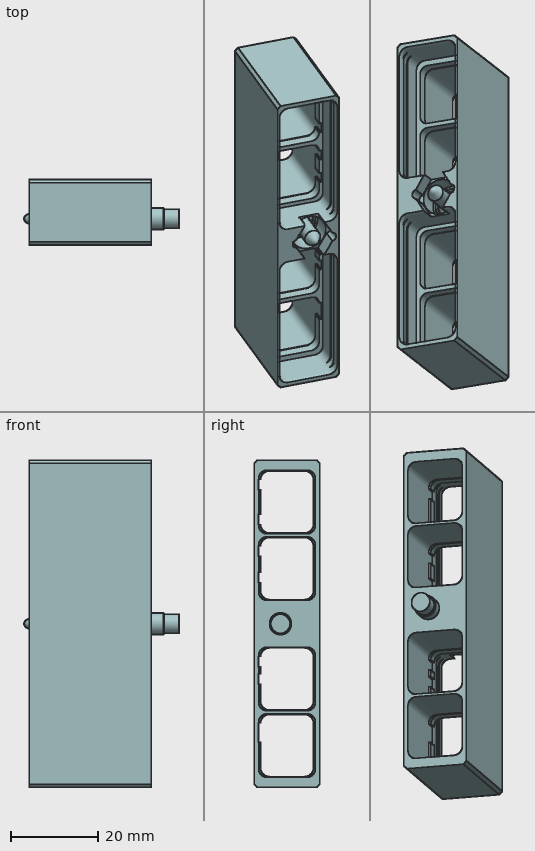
import cadquery as cq

BODY_DEPTH = 28.0
BODY_THICKNESS = 15.06
BODY_HEIGHT = 74.98
BODY_CHAMFER = 0.75

POCKET_WIDTH = 14.1
POCKET_INNER_Z = 4.35
POCKET_OUTER_Z = 36.5
POCKET_DEPTH = 9.1
POCKET_CORNER_RADIUS = 2.0
MOUTH_SIDE_TAPER = 0.1
MOUTH_END_TAPER = 0.2
MOUTH_DEPTH = 0.8

GROOVE_START = 2.15
GROOVE_END = 4.3
GROOVE_WIDTH = 14.5
GROOVE_END_MARGIN = 0.17

WINDOW_WIDTH = 12.1
WINDOW_HEIGHT = 14.2
WINDOW_CORNER_RADIUS = 2.0
WINDOW_PITCH = 15.24
WINDOW_PAIR_Z = 20.27
PLATE_THICKNESS = 2.7
REAR_WIDTH = 13.0
REAR_HEIGHT = 14.6

NOTCH_WIDTH = 2.4
NOTCH_REACH_Y = -6.5
NOTCH_PITCH = 2.0
COMMON_NOTCH_STEP = 2
CODE_NOTCH_STEPS = [-2, -1, 0, 1]

SCREW_Y = -1.5
NOSE_REACH = 1.2
NOSE_MID_X = -1.0
NOSE_MID_RADIUS = 0.55
NOSE_BASE_X = -0.6
NOSE_BASE_RADIUS = 0.9
CONE_END_X = 1.2
CONE_END_RADIUS = 1.9
SHOULDER_START_X = 8.6
SHOULDER_MID_X = 9.1
SHOULDER_MID_RADIUS = 2.6
BORE_STEPS = [(4.2, 9.0), (3.7, 9.4), (3.2, 9.8)]

KEY_DEPTH = 3.8
KEY_SIDE_REACH = 5.05
KEY_END_REACH = 4.65
KEY_END_HALF_WIDTH = 2.2
LOBE_RADIUS = 1.1
LOBE_OFFSET = 4.2

BOSS_RADIUS = 2.5
BOSS_LENGTH = 3.0
BOSS_CHAMFER = 0.25
PIN_RADIUS = 2.2
PIN_REACH = 6.35


def block(x_start, x_end, width, z_low, z_high, radius):
    """Box along X, centred on Y = 0, with rounded long edges."""
    solid = cq.Workplane("XY").box(
        x_end - x_start, width, z_high - z_low, centered=(False, True, False)
    )
    return solid.edges("|X").fillet(radius).translate((x_start, 0, z_low))


def cylinder(x_start, x_end, radius, y):
    """Round bar along X at Z = 0."""
    return cq.Workplane("YZ", origin=(x_start, y, 0)).circle(radius).extrude(x_end - x_start)


def make_body():
    """Solid block with chamfered long edges."""
    body = cq.Workplane("XY").box(
        BODY_DEPTH, BODY_THICKNESS, BODY_HEIGHT, centered=(False, True, True)
    )
    return body.edges("|X").chamfer(BODY_CHAMFER)


def mouth_section(x, width, height, radius):
    """Rounded rectangle across the pocket at depth x."""
    outline = cq.Sketch().rect(width, height).vertices().fillet(radius)
    return outline.moved(cq.Location(cq.Vector(0, 0, x)))


def make_mouth():
    """Tapered opening that leads from the front rim into the upper pocket."""
    rim_height = POCKET_OUTER_Z - POCKET_INNER_Z
    rim = mouth_section(0, POCKET_WIDTH, rim_height, POCKET_CORNER_RADIUS + MOUTH_SIDE_TAPER)
    throat = mouth_section(
        MOUTH_DEPTH,
        POCKET_WIDTH - 2 * MOUTH_SIDE_TAPER,
        rim_height - 2 * MOUTH_END_TAPER,
        POCKET_CORNER_RADIUS,
    )
    centre_z = (POCKET_OUTER_Z + POCKET_INNER_Z) / 2
    return cq.Workplane("YZ", origin=(0, 0, centre_z)).placeSketch(rim, throat).loft()


def make_pocket():
    """Upper front pocket with its tapered mouth and side grooves."""
    low = POCKET_INNER_Z + MOUTH_END_TAPER
    high = POCKET_OUTER_Z - MOUTH_END_TAPER
    width = POCKET_WIDTH - 2 * MOUTH_SIDE_TAPER
    pocket = block(0, POCKET_DEPTH, width, low, high, POCKET_CORNER_RADIUS)
    groove = block(
        GROOVE_START,
        GROOVE_END,
        GROOVE_WIDTH,
        low + GROOVE_END_MARGIN,
        high - GROOVE_END_MARGIN,
        POCKET_CORNER_RADIUS,
    )
    return pocket.union(groove).union(make_mouth())


def window_block(x_start, width, height, centre_z):
    """Rounded opening from x_start out through the back of the body."""
    low = centre_z - height / 2
    return block(x_start, BODY_DEPTH, width, low, low + height, WINDOW_CORNER_RADIUS)


def make_window(centre_z, code_step):
    """Window with its wider rear part, the common notch and its own coding notch."""
    opening = window_block(POCKET_DEPTH, WINDOW_WIDTH, WINDOW_HEIGHT, centre_z)
    rear_start = POCKET_DEPTH + PLATE_THICKNESS
    opening = opening.union(window_block(rear_start, REAR_WIDTH, REAR_HEIGHT, centre_z))
    for step in (COMMON_NOTCH_STEP, code_step):
        notch_z = centre_z + step * NOTCH_PITCH
        notch = cq.Workplane("XY", origin=(POCKET_DEPTH, NOTCH_REACH_Y, notch_z)).box(
            PLATE_THICKNESS, -NOTCH_REACH_Y, NOTCH_WIDTH, centered=(False, False, True)
        )
        opening = opening.union(notch)
    return opening


def make_key_recess():
    """Six-sided recess with two side lobes and a stepped bore in its floor."""
    outline = [
        (KEY_SIDE_REACH, 0),
        (KEY_END_HALF_WIDTH, KEY_END_REACH),
        (-KEY_END_HALF_WIDTH, KEY_END_REACH),
        (-KEY_SIDE_REACH, 0),
        (-KEY_END_HALF_WIDTH, -KEY_END_REACH),
        (KEY_END_HALF_WIDTH, -KEY_END_REACH),
    ]
    recess = cq.Workplane("YZ", origin=(0, SCREW_Y, 0)).polyline(outline).close().extrude(KEY_DEPTH)
    for side in (-1, 1):
        recess = recess.union(cylinder(0, KEY_DEPTH, LOBE_RADIUS, SCREW_Y + side * LOBE_OFFSET))
    for radius, floor_x in BORE_STEPS:
        recess = recess.union(cylinder(0, floor_x, radius, SCREW_Y))
    return recess


def make_screw():
    """Pointed screw end, turned about its own axis, standing on the bore floor."""
    foot_radius, foot_x = BORE_STEPS[-1]
    profile = (
        cq.Workplane("XY")
        .moveTo(-NOSE_REACH, 0)
        .threePointArc((NOSE_MID_X, NOSE_MID_RADIUS), (NOSE_BASE_X, NOSE_BASE_RADIUS))
        .lineTo(CONE_END_X, CONE_END_RADIUS)
        .lineTo(SHOULDER_START_X, CONE_END_RADIUS)
        .lineTo(SHOULDER_MID_X, SHOULDER_MID_RADIUS)
        .lineTo(foot_x, foot_radius)
        .lineTo(foot_x, 0)
        .close()
    )
    return profile.revolve(360, (0, 0, 0), (1, 0, 0)).translate((0, SCREW_Y, 0))


def make_rear_pin():
    """Chamfered boss on the back face with a thinner pin standing out of it."""
    boss = cylinder(BODY_DEPTH, BODY_DEPTH + BOSS_LENGTH, BOSS_RADIUS, SCREW_Y)
    boss = boss.faces(">X").chamfer(BOSS_CHAMFER)
    return boss.union(cylinder(BODY_DEPTH, BODY_DEPTH + PIN_REACH, PIN_RADIUS, SCREW_Y))


upper_pocket = make_pocket()
result = make_body().cut(upper_pocket).cut(upper_pocket.mirror("XY"))

window_heights = [
    side * WINDOW_PAIR_Z + shift * WINDOW_PITCH / 2 for side in (1, -1) for shift in (1, -1)
]
for window_z, code_step in zip(window_heights, CODE_NOTCH_STEPS):
    result = result.cut(make_window(window_z, code_step))

result = result.cut(make_key_recess()).union(make_screw()).union(make_rear_pin())